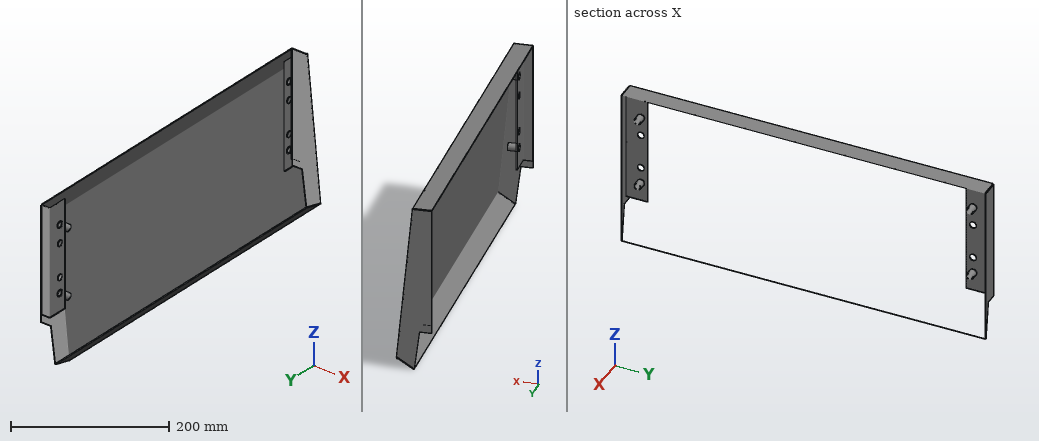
import cadquery as cq
import math

cover_length = 512.0
cover_height = 225.5
sheet = 1.5
top_depth = 25.5
panel_lean = 0.1
panel_bottom_z = 14.5
lip_tip_x = 23.5
notch_x = 16.0
notch_z = 54.0
cover_bend_radius = 2.0
corner_notch = 1.3

bracket_sheet = 1.5
bracket_depth = 14.0
bracket_width = 31.0
bracket_bottom_z = 64.0
bend_radius = 2.0
hole_inset = 23.0
plain_hole_heights = (163.5, 113.5)
plain_hole_diameter = 9.0

sleeve_heights = (190.5, 90.5)
sleeve_diameter = 10.0
sleeve_bore = 7.0
sleeve_length = 14.5

end_sides = (-1, 1)
inner_half_length = cover_length / 2 - sheet
hole_y = cover_length / 2 - hole_inset
bracket_front_x = bracket_depth - bracket_sheet
panel_bottom_x = top_depth + panel_lean * (cover_height - panel_bottom_z)
lip_slope = panel_bottom_z / (panel_bottom_x - lip_tip_x)
lip_angle = math.atan(lip_slope)
panel_offset_x = sheet * math.hypot(1, panel_lean)
lip_offset_z = sheet * math.hypot(1, lip_slope)


def panel_inner_x(z):
    """X of the panel's inner face at height z."""
    return top_depth + panel_lean * (cover_height - z) - panel_offset_x


def lip_inner_z(x):
    """Z of the lip's inner face at depth x."""
    return lip_slope * (x - lip_tip_x) + lip_offset_z


def extrude_along_y(points, length):
    """Close an XZ outline and extrude it symmetrically about Y = 0."""
    return cq.Workplane("XZ").polyline(points).close().extrude(length / 2, both=True)


def cylinder_along_x(diameter, start_x, length, y, z):
    """A round bar pointing toward +X."""
    return (
        cq.Workplane("YZ", origin=(start_x, y, z))
        .circle(diameter / 2)
        .extrude(length)
    )


def round_bends(block, radius):
    """Round the edges all around the panel face of a tray-shaped block."""
    panel_normal = cq.Vector(1, 0, panel_lean)
    folds = block.faces(cq.DirectionMinMaxSelector(panel_normal, True)).edges()
    return folds.fillet(radius)


def notch_bar(length):
    """A square bar along +X, centred on the edge that it cuts away."""
    width = 2 * corner_notch
    return cq.Workplane("XY").box(length, width, width, centered=(False, True, True))


def make_corner_notches(side):
    """Open corners where the top and the lip meet one end wall, stopping before the panel's bend."""
    wall_y = side * cover_length / 2
    top_notch = notch_bar(top_depth - cover_bend_radius).translate((0, wall_y, cover_height))

    lip_length = math.hypot(panel_bottom_x - lip_tip_x, panel_bottom_z)
    lip_notch = (
        notch_bar(lip_length)
        .translate((-cover_bend_radius, 0, 0))
        .rotate((0, 0, 0), (0, 1, 0), -math.degrees(lip_angle))
        .translate((lip_tip_x, wall_y, 0))
    )
    return top_notch, lip_notch


def make_cover():
    outer_outline = [
        (0, cover_height),
        (top_depth, cover_height),
        (panel_bottom_x, panel_bottom_z),
        (lip_tip_x, 0),
        (lip_tip_x - sheet * math.sin(lip_angle), sheet * math.cos(lip_angle)),
        (notch_x, notch_z),
        (0, notch_z),
    ]
    body = extrude_along_y(outer_outline, cover_length)
    body = round_bends(body, cover_bend_radius)

    inner_top_z = cover_height - sheet
    inner_corner_z = (
        lip_inner_z(panel_inner_x(0)) / (1 + lip_slope * panel_lean)
    )
    cavity_outline = [
        (-panel_bottom_x, inner_top_z),
        (panel_inner_x(inner_top_z), inner_top_z),
        (panel_inner_x(inner_corner_z), inner_corner_z),
        (-panel_bottom_x, lip_inner_z(-panel_bottom_x)),
    ]
    cavity = extrude_along_y(cavity_outline, 2 * inner_half_length)
    cavity = round_bends(cavity, cover_bend_radius - sheet)
    cover = body.cut(cavity)
    for side in end_sides:
        for notch in make_corner_notches(side):
            cover = cover.cut(notch)
    return cover


def make_bracket(side):
    bracket_height = cover_height - sheet - bracket_bottom_z
    inner_radius = bend_radius - bracket_sheet
    wall_y = side * inner_half_length
    flange_inner_y = side * (inner_half_length - bracket_sheet)
    plate_edge_y = side * (inner_half_length - bracket_width)

    outer_angle = (
        cq.Workplane("XY", origin=(0, 0, bracket_bottom_z))
        .moveTo(0, wall_y)
        .lineTo(bracket_depth, wall_y)
        .lineTo(bracket_depth, plate_edge_y)
        .lineTo(bracket_front_x, plate_edge_y)
        .lineTo(bracket_front_x, flange_inner_y)
        .lineTo(0, flange_inner_y)
        .close()
        .extrude(bracket_height)
    )
    outer_bend = cq.selectors.NearestToPointSelector(
        (bracket_depth, wall_y, bracket_bottom_z + bracket_height / 2)
    )
    inner_bend = cq.selectors.NearestToPointSelector(
        (bracket_front_x, flange_inner_y, bracket_bottom_z + bracket_height / 2)
    )
    bracket = outer_angle.edges("|Z").edges(outer_bend).fillet(bend_radius)
    bracket = bracket.edges("|Z").edges(inner_bend).fillet(inner_radius)

    holes = [(plain_hole_diameter, z) for z in plain_hole_heights]
    holes += [(sleeve_diameter, z) for z in sleeve_heights]
    for diameter, z in holes:
        bracket = bracket.cut(
            cylinder_along_x(diameter, bracket_front_x, bracket_sheet, side * hole_y, z)
        )
    return bracket


def make_sleeve(side, z):
    y = side * hole_y
    outside = cylinder_along_x(sleeve_diameter, bracket_front_x, sleeve_length, y, z)
    bore = cylinder_along_x(sleeve_bore, bracket_front_x, sleeve_length, y, z)
    return outside.cut(bore)


cover = make_cover()
brackets = [make_bracket(side) for side in end_sides]
sleeves = [make_sleeve(side, z) for side in end_sides for z in sleeve_heights]

result = cq.Compound.makeCompound(
    [cover.val()]
    + [bracket.val() for bracket in brackets]
    + [sleeve.val() for sleeve in sleeves]
)